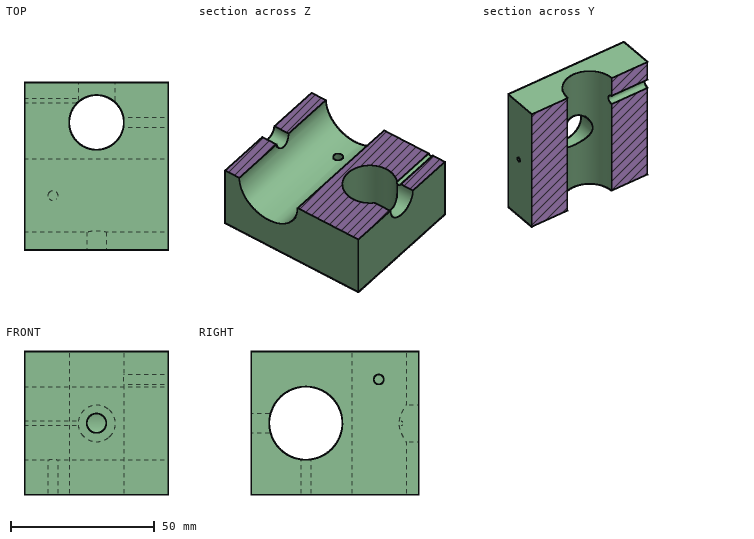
import cadquery as cq

width = 50.0
length = 58.4
height = 50.0

vertical_bore_diameter = 19.0
vertical_bore_y = length - 13.95

cross_bore_diameter = 25.4
cross_bore_y = 19.05

screw_hole_diameter = 6.8
screw_hole_depth = cross_bore_y

clamp_hole_diameter = 3.45
clamp_hole_inset = 9.75

back_hole_diameter = 12.85
back_hole_depth = length - vertical_bore_y

pin_hole_diameter = 1.6
pin_hole_y = length - 6.3
pin_hole_depth = width / 2


def cylinder(diameter, depth, start, direction):
    """Solid cylinder running from a start point along a direction."""
    return cq.Solid.makeCylinder(diameter / 2, depth, cq.Vector(*start), cq.Vector(*direction))


block = cq.Workplane("XY").box(width, length, height).translate((0, length / 2, 0))

vertical_bore = cylinder(vertical_bore_diameter, height, (0, vertical_bore_y, -height / 2), (0, 0, 1))
cross_bore = cylinder(cross_bore_diameter, width, (-width / 2, cross_bore_y, 0), (1, 0, 0))
screw_hole = cylinder(screw_hole_diameter, screw_hole_depth, (0, 0, 0), (0, 1, 0))
back_hole = cylinder(back_hole_diameter, back_hole_depth, (0, length, 0), (0, -1, 0))
pin_hole = cylinder(pin_hole_diameter, pin_hole_depth, (-width / 2, pin_hole_y, 0), (1, 0, 0))
bottom_clamp_hole = cylinder(
    clamp_hole_diameter,
    height / 2,
    (-width / 2 + clamp_hole_inset, cross_bore_y, -height / 2),
    (0, 0, 1),
)
side_clamp_hole = cylinder(
    clamp_hole_diameter,
    width / 2,
    (width / 2, vertical_bore_y, height / 2 - clamp_hole_inset),
    (-1, 0, 0),
)

result = (
    block.cut(vertical_bore)
    .cut(cross_bore)
    .cut(screw_hole)
    .cut(back_hole)
    .cut(pin_hole)
    .cut(bottom_clamp_hole)
    .cut(side_clamp_hole)
)